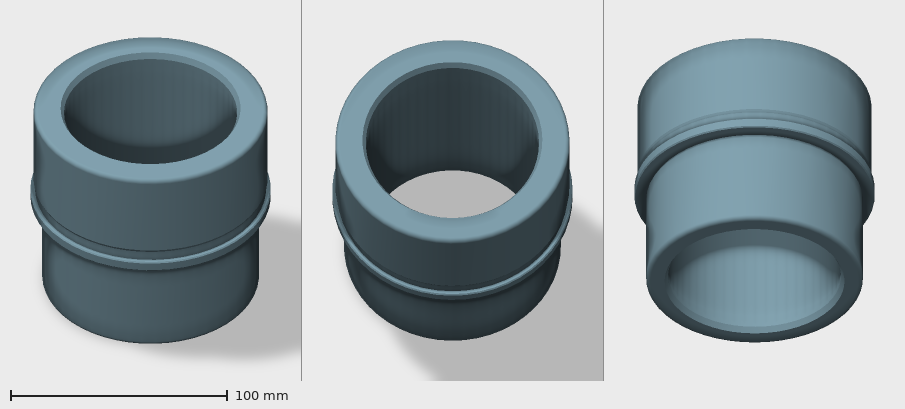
import cadquery as cq

height = 100.0
head_radius = 54.0
groove_radius = 53.4
flange_radius = 55.5
spigot_radius = 50.0
bore_radius = 40.0

flange_bottom = 48.0
flange_top = 53.0
head_bottom = 57.7

rim_fillet = 2.0
head_chamfer_height = 1.3
head_chamfer_depth = head_radius - groove_radius
flange_chamfer = 0.5
neck_depth = 1.0
neck_height = 2.0
spigot_fillet = 2.0
mouth_width = 1.5
mouth_depth = 2.7


def disc(radius, bottom, top):
    """Solid cylinder on the Z axis between two heights."""
    return cq.Workplane("XY").workplane(offset=bottom).circle(radius).extrude(top - bottom)


head = disc(head_radius, head_bottom, height)
head = head.faces(">Z").edges().fillet(rim_fillet)
head = head.faces("<Z").edges().chamfer(head_chamfer_height, head_chamfer_depth)

groove = disc(groove_radius, flange_top, head_bottom)

flange = disc(flange_radius, flange_bottom, flange_top)
flange = flange.faces("<Z or >Z").edges().chamfer(flange_chamfer)

spigot = disc(spigot_radius, 0, flange_bottom)
spigot = spigot.faces("<Z").edges().fillet(spigot_fillet)
spigot = spigot.faces(">Z").edges().chamfer(neck_height, neck_depth)

body = head.union(groove).union(flange).union(spigot)

bore_profile = (
    cq.Workplane("XZ")
    .polyline([
        (0, 0),
        (bore_radius + mouth_width, 0),
        (bore_radius, mouth_depth),
        (bore_radius, height - mouth_depth),
        (bore_radius + mouth_width, height),
        (0, height),
    ])
    .close()
)
bore = bore_profile.revolve(360, (0, 0, 0), (0, 1, 0))

result = body.cut(bore)